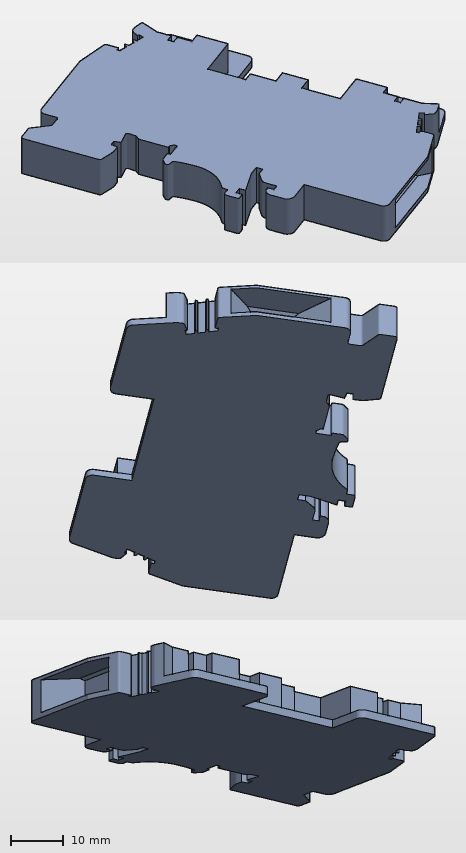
import cadquery as cq
import math

LENGTH = 72.8
HEIGHT = 51.0
THICKNESS = 8.2
PLATE_THICKNESS = 1.6

END_X = LENGTH / 2
SHOULDER_Y = 27.5
SHOULDER_TOP_X, SHOULDER_TOP_Y = 34.4, 34.6
BASE_Y = 9.4
BASE_CORNER_RADIUS = 1.3

CAP_TOP_X = 29.1
CAP_INNER_X = 10.9
CAP_RADIUS = 1.4
CAP_GAP_FLOOR_Y = 42.4
CAP_EDGE_X, CAP_EDGE_Y = 31.1, 44.0
CAP_LEAN = (CAP_EDGE_X - CAP_TOP_X) / (HEIGHT - CAP_EDGE_Y)
LIP_X = 31.7
LIP_Y = CAP_EDGE_Y - (LIP_X - CAP_EDGE_X) / CAP_LEAN

GROOVE_TOP_X, GROOVE_TOP_Y = 28.9, 39.7
GROOVE_FOOT_X, GROOVE_FOOT_Y = 31.0, 33.9
GROOVE_FOOT_OUTER_X = 31.6
RIB_LENGTH = 0.8
RIB_WIDTH = 0.65
RIB_TOPS_Y = (38.15, 36.2)

TOWER_Y = 44.6
TOWER_INNER_X, TOWER_OUTER_X = 13.4, 19.95
NOTCH_INNER_X, NOTCH_OUTER_X = 23.0, 24.25
NOTCH_DEPTH = 1.5
LEFT_LEDGE_Y, LEFT_LEDGE_END_X = 42.4, 27.2
RIGHT_LEDGE_Y, RIGHT_LEDGE_END_X = 42.8, 28.1
MIDDLE_STEP_Y = 37.6
LEFT_RECESS_Y, LEFT_RECESS_END_X = 35.5, -5.45
CENTRE_TAB_Y, CENTRE_TAB_LEFT_X, CENTRE_TAB_RIGHT_X = 40.5, -0.1, 5.3

ENTRY_LOW_Y, ENTRY_HIGH_Y = 13.2, 32.2
ENTRY_HIGH_X = 35.1
ENTRY_FLOOR_X = 30.6
FLOOR_LOW_Y, FLOOR_HIGH_Y = 19.15, 27.6
ENTRY_BOTTOM_Z, ENTRY_TOP_Z = 1.0, 7.5
FLOOR_BOTTOM_Z, FLOOR_TOP_Z = 2.9, 7.0
ENTRY_SLOPE = 0.75
ENTRY_OVERSHOOT = 1.45


def outline(corners):
    """Closed wire through (x, y) or (x, y, radius) corners, rounding those that carry a radius."""
    pieces = []
    for i, (x, y, *rounding) in enumerate(corners):
        corner = cq.Vector(x, y)
        if not rounding:
            pieces.append((corner,))
            continue
        to_previous = (cq.Vector(*corners[i - 1][:2]) - corner).normalized()
        to_next = (cq.Vector(*corners[(i + 1) % len(corners)][:2]) - corner).normalized()
        half_angle = to_previous.getAngle(to_next) / 2
        radius = rounding[0]
        setback = radius / math.tan(half_angle)
        bulge = radius / math.sin(half_angle) - radius
        middle = corner + (to_previous + to_next).normalized() * bulge
        pieces.append((corner + to_previous * setback, middle, corner + to_next * setback))

    wire = cq.Workplane("XY").moveTo(*pieces[0][0].toTuple()[:2])
    for i, piece in enumerate(pieces):
        if i > 0:
            wire = wire.lineTo(*piece[0].toTuple()[:2])
        if len(piece) > 1:
            wire = wire.threePointArc(piece[1].toTuple()[:2], piece[2].toTuple()[:2])
    return wire.close()


def mirrored(corners):
    """The same corners on the other side of the YZ plane, in reverse order."""
    return [(-x, *rest) for x, *rest in reversed(corners)]


def groove_x(y):
    """X of the sloped groove wall at height y, on the +X side."""
    share = (GROOVE_TOP_Y - y) / (GROOVE_TOP_Y - GROOVE_FOOT_Y)
    return GROOVE_TOP_X + share * (GROOVE_FOOT_X - GROOVE_TOP_X)


def end_corners():
    """+X end of the body, from the cap edge down through the marker groove to the shoulder."""
    corners = [
        (CAP_EDGE_X, CAP_EDGE_Y),
        (LIP_X, LIP_Y),
        (LIP_X, 40.6, 0.6),
        (30.1, 39.7),
        (29.85, 40.05),
        (GROOVE_TOP_X, GROOVE_TOP_Y),
    ]
    for top_y in RIB_TOPS_Y:
        bottom_y = top_y - RIB_WIDTH
        tip_x = groove_x(top_y) + RIB_LENGTH
        corners += [
            (groove_x(top_y), top_y),
            (tip_x, top_y),
            (tip_x, top_y - RIB_WIDTH / 2),
            (groove_x(bottom_y), bottom_y),
        ]
    return corners + [
        (GROOVE_FOOT_X, GROOVE_FOOT_Y),
        (GROOVE_FOOT_OUTER_X, GROOVE_FOOT_Y),
        (GROOVE_FOOT_OUTER_X, SHOULDER_TOP_Y),
        (SHOULDER_TOP_X, SHOULDER_TOP_Y, 0.5),
        (END_X, SHOULDER_Y),
    ]


def top_corners():
    """Stepped top of the body, from left to right."""
    return [
        (-LEFT_LEDGE_END_X, LEFT_LEDGE_Y),
        (-NOTCH_OUTER_X, LEFT_LEDGE_Y),
        (-NOTCH_OUTER_X, LEFT_LEDGE_Y - NOTCH_DEPTH),
        (-NOTCH_INNER_X, LEFT_LEDGE_Y - NOTCH_DEPTH),
        (-NOTCH_INNER_X, LEFT_LEDGE_Y),
        (-TOWER_OUTER_X, LEFT_LEDGE_Y),
        (-TOWER_OUTER_X, TOWER_Y),
        (-TOWER_INNER_X, TOWER_Y),
        (-TOWER_INNER_X, LEFT_RECESS_Y),
        (LEFT_RECESS_END_X, LEFT_RECESS_Y),
        (LEFT_RECESS_END_X, MIDDLE_STEP_Y),
        (CENTRE_TAB_LEFT_X, MIDDLE_STEP_Y),
        (CENTRE_TAB_LEFT_X, CENTRE_TAB_Y),
        (CENTRE_TAB_RIGHT_X, CENTRE_TAB_Y),
        (CENTRE_TAB_RIGHT_X, MIDDLE_STEP_Y),
        (TOWER_INNER_X, MIDDLE_STEP_Y),
        (TOWER_INNER_X, TOWER_Y),
        (TOWER_OUTER_X, TOWER_Y),
        (TOWER_OUTER_X, RIGHT_LEDGE_Y),
        (NOTCH_INNER_X, RIGHT_LEDGE_Y),
        (NOTCH_INNER_X, RIGHT_LEDGE_Y - NOTCH_DEPTH),
        (NOTCH_OUTER_X, RIGHT_LEDGE_Y - NOTCH_DEPTH),
        (NOTCH_OUTER_X, RIGHT_LEDGE_Y),
        (RIGHT_LEDGE_END_X, RIGHT_LEDGE_Y),
    ]


fixed_hook = [
    (END_X, BASE_Y, BASE_CORNER_RADIUS),
    (19.1, BASE_Y),
    (19.1, 3.65, 1.6),
    (13.25, 3.65, 1.45),
    (13.25, 5.5),
    (14.55, 5.5),
    (14.55, 6.8),
    (11.6, 6.8, 1.4),
    (9.8, 9.0),
    (9.8, 10.55),
]
spring_latch = [
    (8.5, 10.55),
    (8.5, 8.3),
    (9.8, 3.0),
    (8.5, 3.0),
    (8.5, 1.5),
    (9.8, 1.5),
    (9.8, 0.0, 0.3),
    (6.6, 0.0, 0.6),
    (6.6, 1.75),
    (5.45, 1.75, 0.9),
    (2.7, 6.1, 8.45),
    (-4.15, 6.1, 24.0),
    (-6.6, 5.7, 0.45),
    (-6.9, 4.2, 0.2),
    (-7.6, 4.2, 0.2),
    (-8.65, 5.4, 0.7),
    (-8.65, 7.6, 0.3),
    (-8.0, 7.6),
]
rail_seat = [
    (-8.0, 10.55, 0.3),
    (-8.65, 10.55, 0.3),
    (-9.3, 9.9),
    (-9.3, BASE_Y),
    (-15.6, BASE_Y),
    (-16.45, 10.1),
    (-18.6, 10.3, 0.4),
]
left_foot = [
    (-18.1, 7.0),
    (-19.5, 6.8),
    (-19.5, 5.6),
    (-18.1, 5.4),
    (-18.1, 3.6, 3.65),
    (-19.2, 0.2, 0.6),
    (-35.95, 0.2, 0.6),
    (-35.95, 3.8, 0.6),
    (-32.3, 6.4, 0.6),
    (-32.3, 9.2, 0.45),
    (-END_X, 9.2, BASE_CORNER_RADIUS),
]


def make_body():
    ends = end_corners()
    rail_side = fixed_hook + spring_latch + rail_seat + left_foot
    corners = top_corners() + ends + rail_side + mirrored(ends)
    return outline(corners).extrude(THICKNESS)


def make_cap_plate():
    """Thin plate with two raised caps, overlapping the body and sharing its bottom face."""
    right_half = [
        (CAP_INNER_X, CAP_GAP_FLOOR_Y),
        (CAP_INNER_X, HEIGHT, CAP_RADIUS),
        (CAP_TOP_X, HEIGHT, CAP_RADIUS),
        (CAP_EDGE_X, CAP_EDGE_Y),
        (NOTCH_OUTER_X, LEFT_RECESS_Y),
    ]
    return outline(mirrored(right_half) + right_half).extrude(PLATE_THICKNESS)


def make_entry():
    """Cutter for the +X conductor entry: side walls taper fully, bottom and top only near the floor."""
    outside_x = END_X + ENTRY_OVERSHOOT
    low_taper = (FLOOR_LOW_Y - ENTRY_LOW_Y) / (END_X - ENTRY_FLOOR_X)
    high_taper = (ENTRY_HIGH_Y - FLOOR_HIGH_Y) / (ENTRY_HIGH_X - ENTRY_FLOOR_X)
    plan = outline([
        (ENTRY_FLOOR_X, FLOOR_LOW_Y),
        (outside_x, ENTRY_LOW_Y - low_taper * ENTRY_OVERSHOOT),
        (outside_x, ENTRY_HIGH_Y + high_taper * (outside_x - ENTRY_HIGH_X)),
        (ENTRY_FLOOR_X, FLOOR_HIGH_Y),
    ]).extrude(THICKNESS)

    bottom_slope_x = ENTRY_FLOOR_X + (FLOOR_BOTTOM_Z - ENTRY_BOTTOM_Z) / ENTRY_SLOPE
    top_slope_x = ENTRY_FLOOR_X + (ENTRY_TOP_Z - FLOOR_TOP_Z) / ENTRY_SLOPE
    section = cq.Workplane("XZ").polyline([
        (ENTRY_FLOOR_X, FLOOR_BOTTOM_Z),
        (bottom_slope_x, ENTRY_BOTTOM_Z),
        (outside_x, ENTRY_BOTTOM_Z),
        (outside_x, ENTRY_TOP_Z),
        (top_slope_x, ENTRY_TOP_Z),
        (ENTRY_FLOOR_X, FLOOR_TOP_Z),
    ]).close().extrude(-HEIGHT)
    return plan.intersect(section)


entry = make_entry()
result = make_body().union(make_cap_plate()).cut(entry).cut(entry.mirror("YZ"))